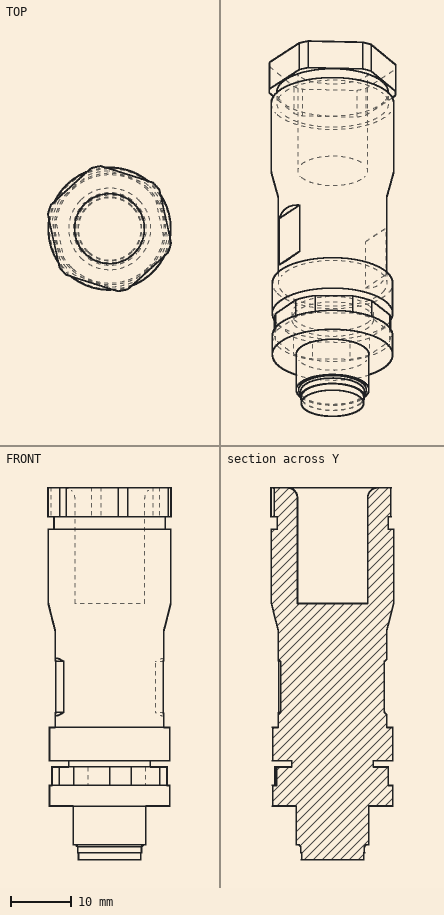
import cadquery as cq
import math

TOTAL_HEIGHT = 61.8
CAP_BOTTOM = 56.9
SLEEVE_TOP = 54.9
SLEEVE_BOTTOM = 42.6
GRIP_TOP = 37.95
COLLAR_TOP = 22.0
COLLAR_BOTTOM = 16.45
NUT_TOP = 15.45
NUT_FLANGE_TOP = 12.35
NUT_FLANGE_BOTTOM = 8.9
PLUG_BOTTOM = 2.5
TIP_STEP = 1.2

CAP_NECK_RADIUS = 9.3
SLEEVE_RADIUS = 10.2
GRIP_RADIUS = 9.0
COLLAR_RADIUS = 10.0
NUT_FLANGE_RADIUS = COLLAR_RADIUS
NUT_NECK_RADIUS = 6.8
PLUG_RADIUS = 6.05
LIP_RADIUS = 5.3
TIP_RADIUS = 5.2
PLUG_CHAMFER = 0.3

CAP_ANGLE = 12.4
CAP_ACROSS_FLATS = 19.0
CAP_CORNER_RADIUS = 10.5
NUT_ANGLE = 11.0
NUT_ACROSS_FLATS = 18.25
NUT_CORNER_RADIUS = 9.65

BORE_RADIUS = 5.8
BORE_DEPTH = TOTAL_HEIGHT - SLEEVE_BOTTOM
MOUTH_ROUND = 1.7

FLAT_ANGLE = 12.0
FLAT_DISTANCE = 8.45
FLAT_BOTTOM = 24.5
FLAT_TOP = 32.95


def turned_body():
    """Stepped round body, revolved about Z."""
    profile = [
        (0, 0),
        (TIP_RADIUS, 0),
        (TIP_RADIUS, TIP_STEP),
        (LIP_RADIUS, TIP_STEP),
        (LIP_RADIUS, PLUG_BOTTOM - PLUG_CHAMFER),
        (LIP_RADIUS + PLUG_CHAMFER, PLUG_BOTTOM),
        (PLUG_RADIUS, PLUG_BOTTOM),
        (PLUG_RADIUS, NUT_FLANGE_BOTTOM),
        (NUT_FLANGE_RADIUS, NUT_FLANGE_BOTTOM),
        (NUT_FLANGE_RADIUS, NUT_FLANGE_TOP),
        (NUT_NECK_RADIUS, NUT_FLANGE_TOP),
        (NUT_NECK_RADIUS, COLLAR_BOTTOM),
        (COLLAR_RADIUS, COLLAR_BOTTOM),
        (COLLAR_RADIUS, COLLAR_TOP),
        (GRIP_RADIUS, COLLAR_TOP),
        (GRIP_RADIUS, GRIP_TOP),
        (SLEEVE_RADIUS, SLEEVE_BOTTOM),
        (SLEEVE_RADIUS, SLEEVE_TOP),
        (CAP_NECK_RADIUS, SLEEVE_TOP),
        (CAP_NECK_RADIUS, CAP_BOTTOM),
        (0, CAP_BOTTOM),
    ]
    return cq.Workplane("XZ").polyline(profile).close().revolve(360, (0, 0, 0), (0, 1, 0))


def rounded_hexagon(bottom, top, across_flats, corner_radius, angle):
    """Hexagonal prism with its corners turned down to a circle."""
    height = top - bottom
    hexagon = (
        cq.Workplane("XY")
        .polygon(6, across_flats, circumscribed=True)
        .extrude(height)
        .rotate((0, 0, 0), (0, 0, 1), angle)
    )
    turned = cq.Workplane("XY").circle(corner_radius).extrude(height)
    return hexagon.intersect(turned).translate((0, 0, bottom))


def cable_entry():
    """Blind bore with a rounded mouth, as a cutting body."""
    mouth_radius = BORE_RADIUS + MOUTH_ROUND
    round_start = TOTAL_HEIGHT - MOUTH_ROUND
    diagonal = MOUTH_ROUND * math.sqrt(0.5)
    return (
        cq.Workplane("XZ")
        .moveTo(0, TOTAL_HEIGHT - BORE_DEPTH)
        .lineTo(BORE_RADIUS, TOTAL_HEIGHT - BORE_DEPTH)
        .lineTo(BORE_RADIUS, round_start)
        .threePointArc((mouth_radius - diagonal, round_start + diagonal), (mouth_radius, TOTAL_HEIGHT))
        .lineTo(0, TOTAL_HEIGHT)
        .close()
        .revolve(360, (0, 0, 0), (0, 1, 0))
    )


def flat_cutter(angle):
    """Milled flat with ends that slope out at 45 degrees."""
    reach = GRIP_RADIUS - FLAT_DISTANCE
    section = [
        (FLAT_DISTANCE, FLAT_BOTTOM),
        (FLAT_DISTANCE, FLAT_TOP),
        (GRIP_RADIUS, FLAT_TOP + reach),
        (GRIP_RADIUS, FLAT_BOTTOM - reach),
    ]
    cutter = cq.Workplane("XZ").polyline(section).close().extrude(GRIP_RADIUS, both=True)
    return cutter.rotate((0, 0, 0), (0, 0, 1), angle)


cap = rounded_hexagon(CAP_BOTTOM, TOTAL_HEIGHT, CAP_ACROSS_FLATS, CAP_CORNER_RADIUS, CAP_ANGLE)
nut = rounded_hexagon(NUT_FLANGE_TOP, NUT_TOP, NUT_ACROSS_FLATS, NUT_CORNER_RADIUS, NUT_ANGLE)
result = turned_body().union(cap).union(nut).cut(cable_entry())
for side in (0, 180):
    result = result.cut(flat_cutter(FLAT_ANGLE + side))